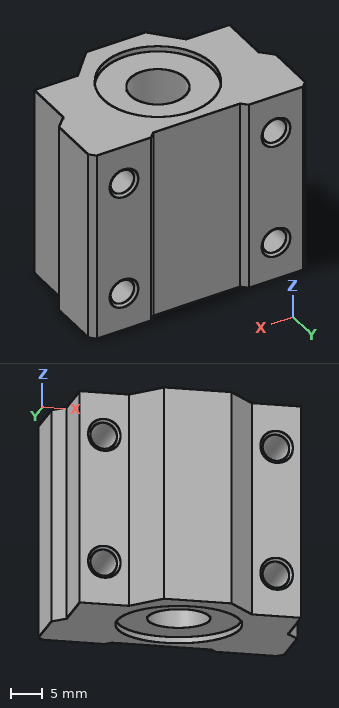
import cadquery as cq

width = 40.0
depth = 26.0
height = 35.0
half_depth = depth / 2

edge_chamfer = 1.0
flange_front_y = 3.0
side_step = 2.0
body_half_width = width / 2 - side_step
shoulder_y = -8.0
nose_base_half_width = 10.0
nose_tip_half_width = 5.5
relief_half_width = 8.0
relief_depth = 1.0

bore_diameter = 10.0
recess_diameter = 20.0
recess_depth = 1.0

hole_diameter = 4.3
hole_rim_diameter = 5.3
hole_chamfer = (hole_rim_diameter - hole_diameter) / 2
hole_spacing_x = 28.0
hole_spacing_z = 21.0


def make_block():
    right_side = [
        (nose_tip_half_width, -half_depth),
        (nose_base_half_width, shoulder_y),
        (body_half_width, shoulder_y),
        (body_half_width, flange_front_y - side_step),
        (width / 2, flange_front_y),
        (width / 2, half_depth - edge_chamfer),
        (width / 2 - edge_chamfer, half_depth),
        (relief_half_width + relief_depth, half_depth),
        (relief_half_width, half_depth - relief_depth),
    ]
    left_side = [(-x, y) for x, y in reversed(right_side)]
    return cq.Workplane("XY").polyline(right_side + left_side).close().extrude(height)


def cut_bore(body):
    body = body.cut(cq.Workplane("XY").circle(bore_diameter / 2).extrude(height))
    recess = cq.Workplane("XY").circle(recess_diameter / 2).extrude(recess_depth)
    top_recess = recess.translate((0, 0, height - recess_depth))
    return body.cut(recess).cut(top_recess)


def make_mounting_hole():
    """Through hole along Y with a chamfered rim at each face."""
    radius = hole_diameter / 2
    rim_radius = hole_rim_diameter / 2
    half_section = [
        (0, shoulder_y),
        (rim_radius, shoulder_y),
        (radius, shoulder_y + hole_chamfer),
        (radius, half_depth - hole_chamfer),
        (rim_radius, half_depth),
        (0, half_depth),
    ]
    return cq.Workplane("XY").polyline(half_section).close().revolve(360, (0, 0, 0), (0, 1, 0))


def cut_mounting_holes(body):
    hole = make_mounting_hole()
    for side_x in (-1, 1):
        for side_z in (-1, 1):
            x = side_x * hole_spacing_x / 2
            z = height / 2 + side_z * hole_spacing_z / 2
            body = body.cut(hole.translate((x, 0, z)))
    return body


result = cut_mounting_holes(cut_bore(make_block()))